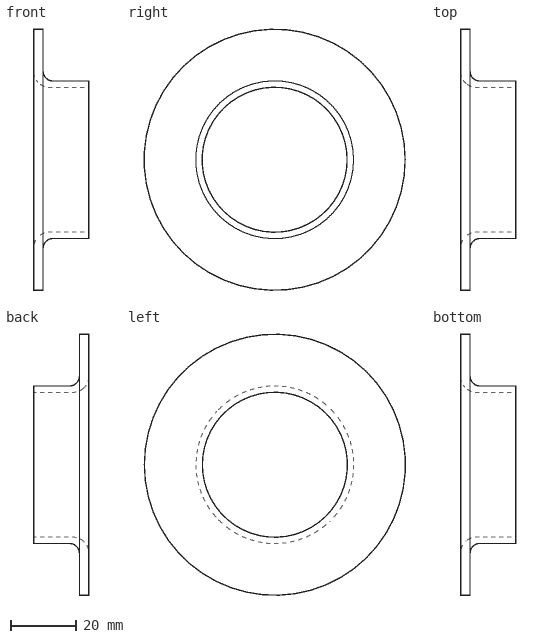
import cadquery as cq

flange_diameter = 80.0
flange_thickness = 3.0
neck_outer_diameter = 48.3
bore_diameter = 44.3
total_length = 17.0

neck_root_radius = 3.0
bore_mouth_radius = 5.0

flange_radius = flange_diameter / 2
neck_radius = neck_outer_diameter / 2
bore_radius = bore_diameter / 2


def quarter_arc(sketch, x_step, y_step, radius):
    """Draw a tangent quarter round of the given radius, going on in the current direction."""
    return sketch.tangentArcPoint((x_step * radius, y_step * radius), relative=True)


section = (
    cq.Workplane("XY")
    .moveTo(0, flange_radius)
    .lineTo(flange_thickness, flange_radius)
    .lineTo(flange_thickness, neck_radius + neck_root_radius)
)
section = quarter_arc(section, 1, -1, neck_root_radius)
section = (
    section.lineTo(total_length, neck_radius)
    .lineTo(total_length, bore_radius)
    .lineTo(bore_mouth_radius, bore_radius)
)
section = quarter_arc(section, -1, 1, bore_mouth_radius)
section = section.close()

axis_start = (0, 0, 0)
axis_end = (1, 0, 0)
result = section.revolve(360, axis_start, axis_end)